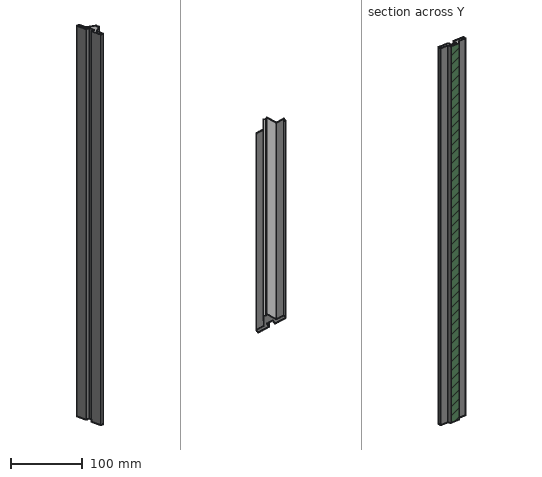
import cadquery as cq

length = 599.5
width = 45.0
depth = 18.72
flange_thickness = 5.0
rib_base_width = 20.0
rib_top_width = 6.0
notch_depth = 1.3
slot_width = 9.4
slot_depth = 5.9


def make_flange():
    """Flat plate standing along Z with its front face on Y = 0."""
    return (
        cq.Workplane("XY")
        .center(0, flange_thickness / 2)
        .rect(width, flange_thickness)
        .extrude(length)
    )


def make_rib():
    """Tapered rib on the back of the flange, its crest cut by a shallow V notch."""
    return (
        cq.Workplane("XY")
        .moveTo(-rib_base_width / 2, flange_thickness)
        .lineTo(rib_base_width / 2, flange_thickness)
        .lineTo(rib_top_width / 2, depth)
        .lineTo(0, depth - notch_depth)
        .lineTo(-rib_top_width / 2, depth)
        .close()
        .extrude(length)
    )


def make_slot():
    """Rectangular slot running the full length of the front face."""
    return (
        cq.Workplane("XY")
        .center(0, slot_depth / 2)
        .rect(slot_width, slot_depth)
        .extrude(length)
    )


result = make_flange().union(make_rib()).cut(make_slot())